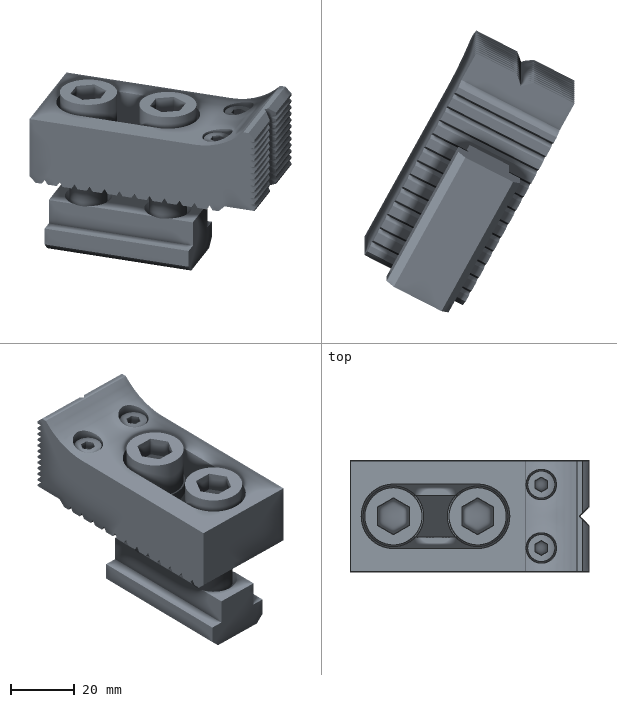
import cadquery as cq
import math


jaw_length = 75.0
jaw_width = 35.0
jaw_bottom_z = 27.0
jaw_top_z = 49.05
crest_z = 56.0
corner_cut = 2.0
sole_end_x = 65.0
ramp_start_x = 55.0
ramp_radius = 22.5

sole_notch_count = 12
sole_notch_first_x = 5.0
sole_notch_last_x = 60.0
sole_notch_half_width = 1.0
sole_notch_depth = 1.6

grip_notch_count = 11
grip_notch_top_z = 53.2
grip_notch_bottom_z = 31.2
grip_notch_depth = 1.6
grip_notch_height = 1.65
grip_groove_depth = 3.0

bolt_first_x = 13.5
bolt_spacing = 26.5
bolt_xs = (bolt_first_x, bolt_first_x + bolt_spacing)
bolts_center_x = bolt_first_x + bolt_spacing / 2
bolt_shank_diameter = 12.0
bolt_head_diameter = 18.0
bolt_head_height = 12.0
bolt_head_top_z = 52.5
bolt_flange_diameter = 19.05
bolt_flange_height = 3.5
bolt_hex_flats = 10.0
bolt_hex_depth = 6.0
bolt_head_bottom_z = bolt_head_top_z - bolt_head_height
slot_floor_z = bolt_head_bottom_z - bolt_flange_height
slot_upper_width = 20.25
slot_lower_width = 13.05

screw_x = 60.0
screw_ys = (-10.0, 10.0)
screw_top_z = 48.5
screw_head_diameter = 8.55
screw_head_height = 5.0
screw_bore_diameter = 9.5
screw_shank_diameter = 5.0
screw_shank_length = 12.0
screw_hex_flats = 4.0
screw_hex_depth = 2.7
screw_seat_z = screw_top_z - screw_head_height

nut_length = 48.0
nut_neck_width = 14.1
nut_flange_width = 22.0
nut_top_z = 16.2
nut_flange_top_z = 8.0
nut_bevel = 2.5
nut_countersink_diameter = 14.85


def cylinder(x, y, bottom_z, diameter, height):
    """Upright cylinder standing on bottom_z."""
    return (
        cq.Workplane("XY", origin=(x, y, bottom_z))
        .circle(diameter / 2)
        .extrude(height)
    )


def hex_socket(x, y, top_z, flats, depth):
    """Hexagonal recess with two flats facing along X, sunk from top_z."""
    corner_diameter = flats / math.cos(math.pi / 6)
    return (
        cq.Workplane("XY", origin=(x, y, top_z))
        .transformed(rotate=(0, 0, 30))
        .polygon(6, corner_diameter)
        .extrude(-depth)
    )


def bolt_slot(width, bottom_z, top_z):
    """Round-ended slot centred on the two bolts."""
    return (
        cq.Workplane("XY", origin=(bolts_center_x, 0, bottom_z))
        .slot2D(bolt_spacing + width, width)
        .extrude(top_z - bottom_z)
    )


def jaw_outline():
    """Side profile of the jaw without its notches."""
    rise = crest_z - jaw_top_z
    ramp_angle = math.acos(1 - rise / ramp_radius)
    ramp_center_z = jaw_top_z + ramp_radius

    def ramp_point(angle):
        return (
            ramp_start_x + ramp_radius * math.sin(angle),
            ramp_center_z - ramp_radius * math.cos(angle),
        )

    return (
        cq.Workplane("XZ")
        .moveTo(corner_cut, jaw_bottom_z)
        .lineTo(0, jaw_bottom_z + corner_cut)
        .lineTo(0, jaw_top_z)
        .lineTo(ramp_start_x, jaw_top_z)
        .threePointArc(ramp_point(ramp_angle / 2), ramp_point(ramp_angle))
        .lineTo(jaw_length - corner_cut, crest_z)
        .lineTo(jaw_length, crest_z - corner_cut)
        .lineTo(jaw_length, jaw_bottom_z + corner_cut)
        .lineTo(sole_end_x, jaw_bottom_z + corner_cut)
        .lineTo(sole_end_x - corner_cut, jaw_bottom_z)
        .close()
    )


def cross_notch(points):
    """Triangular notch running across the full width of the jaw."""
    return cq.Workplane("XZ").polyline(points).close().extrude(jaw_width / 2, both=True)


def make_jaw():
    jaw = jaw_outline().extrude(jaw_width / 2, both=True)

    sole_pitch = (sole_notch_last_x - sole_notch_first_x) / (sole_notch_count - 1)
    for i in range(sole_notch_count):
        x = sole_notch_first_x + i * sole_pitch
        jaw = jaw.cut(cross_notch([
            (x - sole_notch_half_width, jaw_bottom_z),
            (x, jaw_bottom_z + sole_notch_depth),
            (x + sole_notch_half_width, jaw_bottom_z),
        ]))

    grip_pitch = (grip_notch_top_z - grip_notch_bottom_z) / (grip_notch_count - 1)
    for i in range(grip_notch_count):
        z = grip_notch_top_z - i * grip_pitch
        jaw = jaw.cut(cross_notch([
            (jaw_length, z),
            (jaw_length - grip_notch_depth, z),
            (jaw_length, z - grip_notch_height),
        ]))

    grip_groove = (
        cq.Workplane("XY", origin=(0, 0, jaw_bottom_z))
        .polyline([
            (jaw_length, -grip_groove_depth),
            (jaw_length - grip_groove_depth, 0),
            (jaw_length, grip_groove_depth),
        ])
        .close()
        .extrude(crest_z - jaw_bottom_z)
    )
    jaw = jaw.cut(grip_groove)

    jaw = jaw.cut(bolt_slot(slot_upper_width, slot_floor_z, jaw_top_z))
    jaw = jaw.cut(bolt_slot(slot_lower_width, jaw_bottom_z, slot_floor_z))

    for y in screw_ys:
        bore = cylinder(screw_x, y, screw_seat_z, screw_bore_diameter, crest_z - screw_seat_z)
        shank_hole = cylinder(
            screw_x, y, screw_seat_z - screw_shank_length, screw_shank_diameter, screw_shank_length
        )
        jaw = jaw.cut(bore).cut(shank_hole)
    return jaw


def make_bolt(x):
    """Flanged socket-head bolt reaching down to the underside of the T-nut."""
    shank = cylinder(x, 0, 0, bolt_shank_diameter, slot_floor_z)
    flange = cylinder(x, 0, slot_floor_z, bolt_flange_diameter, bolt_flange_height)
    head = cylinder(x, 0, bolt_head_bottom_z, bolt_head_diameter, bolt_head_height)
    socket = hex_socket(x, 0, bolt_head_top_z, bolt_hex_flats, bolt_hex_depth)
    return shank.union(flange).union(head).cut(socket)


def make_screw(y):
    """Small socket-head screw sunk in the ramp."""
    shank = cylinder(
        screw_x, y, screw_seat_z - screw_shank_length, screw_shank_diameter, screw_shank_length
    )
    head = cylinder(screw_x, y, screw_seat_z, screw_head_diameter, screw_head_height)
    socket = hex_socket(screw_x, y, screw_top_z, screw_hex_flats, screw_hex_depth)
    return shank.union(head).cut(socket)


def make_nut():
    """T-shaped nut with a through hole and 45 degree countersink for each bolt."""
    half_neck = nut_neck_width / 2
    half_flange = nut_flange_width / 2
    nut = (
        cq.Workplane("YZ", origin=(bolts_center_x, 0, 0))
        .polyline([
            (-half_flange + nut_bevel, 0),
            (half_flange - nut_bevel, 0),
            (half_flange, nut_bevel),
            (half_flange, nut_flange_top_z),
            (half_neck, nut_flange_top_z),
            (half_neck, nut_top_z),
            (-half_neck, nut_top_z),
            (-half_neck, nut_flange_top_z),
            (-half_flange, nut_flange_top_z),
            (-half_flange, nut_bevel),
        ])
        .close()
        .extrude(nut_length / 2, both=True)
    )
    for x in bolt_xs:
        hole = cylinder(x, 0, 0, bolt_shank_diameter, nut_top_z)
        countersink = cq.Workplane(cq.Solid.makeCone(
            nut_countersink_diameter / 2,
            0,
            nut_countersink_diameter / 2,
            pnt=cq.Vector(x, 0, nut_top_z),
            dir=cq.Vector(0, 0, -1),
        ))
        nut = nut.cut(hole).cut(countersink)
    return nut


jaw = make_jaw()
nut = make_nut()
bolts = [make_bolt(x).val() for x in bolt_xs]
screws = [make_screw(y).val() for y in screw_ys]

result = cq.Compound.makeCompound([jaw.val(), nut.val(), *bolts, *screws])